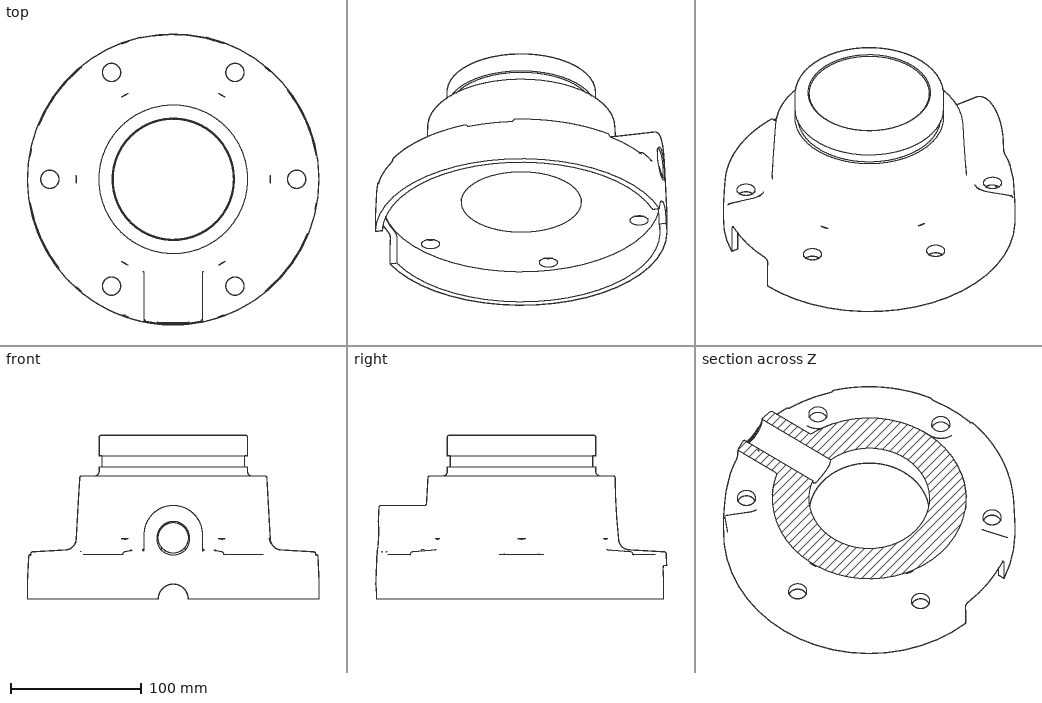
import cadquery as cq
import math

rim_radius = 111.7
rim_straight_height = 15.0
rim_draft_angle = 2.5
flange_edge_height = 36.2
outer_edge_fillet = 1.5
flange_crown_height = 37.8

hub_top_radius = 71.7
hub_foot_radius = 74.4
hub_top_height = 94.3
hub_edge_fillet = 1.3
hub_foot_height = 46.2
foot_blend_radius = 82.9

collar_radius = 57.0
collar_top_height = 125.5
collar_edge_fillet = 1.8
collar_foot_fillet = 3.4
groove_radius = 54.7
groove_bottom_height = 101.2
groove_top_height = 109.7

bore_radius = 46.0
bore_chamfer = 1.0
cavity_radius = 106.3
cavity_height = 26.5

bolt_count = 6
bolt_circle_radius = 94.5
bolt_hole_radius = 7.0
pad_radius = 13.5
pad_flare_angle = 15.0
pad_floor_height = 34.2
pad_wall_taper = 30.0
pad_floor_fillet = 1.1

boss_radius = 22.3
boss_center_height = 49.4
boss_root_fillet = 1.3
port_radius = 11.6
port_chamfer = 1.5
port_center_height = 47.0

drain_radius = 11.5
window_half_width = 25.2
window_height = 25.7
window_corner_radius = 3.4


def rim_radius_at(height):
    """Radius of the drafted rim surface at a height above its straight foot."""
    return rim_radius - (height - rim_straight_height) * math.tan(math.radians(rim_draft_angle))


def make_body():
    """Solid of revolution: rim, flange, hub and grooved collar."""
    blend_width = foot_blend_radius - hub_foot_radius
    blend_height = hub_foot_height - flange_crown_height
    on_diagonal = 1 - math.sqrt(0.5)
    blend_middle = (
        hub_foot_radius + blend_width * on_diagonal,
        flange_crown_height + blend_height * on_diagonal,
    )
    body = (
        cq.Workplane("XZ")
        .moveTo(0, 0)
        .lineTo(rim_radius, 0)
        .lineTo(rim_radius, rim_straight_height)
        .lineTo(rim_radius_at(flange_edge_height), flange_edge_height)
        .lineTo(foot_blend_radius, flange_crown_height)
        .threePointArc(blend_middle, (hub_foot_radius, hub_foot_height))
        .lineTo(hub_top_radius, hub_top_height)
        .lineTo(collar_radius, hub_top_height)
        .lineTo(collar_radius, groove_bottom_height)
        .lineTo(groove_radius, groove_bottom_height)
        .lineTo(groove_radius, groove_top_height)
        .lineTo(collar_radius, groove_top_height)
        .lineTo(collar_radius, collar_top_height)
        .lineTo(0, collar_top_height)
        .close()
        .revolve(360, (0, 0, 0), (0, 1, 0))
    )
    body = fillet_ring(body, collar_radius, collar_top_height, collar_edge_fillet)
    body = fillet_ring(body, collar_radius, hub_top_height, collar_foot_fillet)
    return fillet_ring(body, hub_top_radius, hub_top_height, hub_edge_fillet)


def fillet_ring(body, radius, height, fillet_radius):
    """Round the circular edge that has the given radius and height."""
    reach = 0.2
    outside = radius + reach
    inside = radius - reach
    ring = cq.selectors.BoxSelector(
        (-outside, -outside, height - reach), (outside, outside, height + reach), boundingbox=True
    )
    core = cq.selectors.BoxSelector(
        (-inside, -inside, height - reach), (inside, inside, height + reach), boundingbox=True
    )
    return body.edges(ring - core).fillet(fillet_radius)


def make_boss():
    """Arched boss whose front face carries on the drafted rim surface."""
    arch = (
        cq.Workplane("XZ")
        .moveTo(-boss_radius, rim_straight_height)
        .lineTo(boss_radius, rim_straight_height)
        .lineTo(boss_radius, boss_center_height)
        .threePointArc((0, boss_center_height + boss_radius), (-boss_radius, boss_center_height))
        .close()
        .extrude(rim_radius)
    )
    drafted_envelope = (
        cq.Workplane("XY")
        .workplane(offset=rim_straight_height)
        .circle(rim_radius)
        .extrude(hub_top_height - rim_straight_height, taper=rim_draft_angle)
    )
    return arch.intersect(drafted_envelope)


def pad_outline(radius, height):
    """Closed outline of a bolt pad: round at the hub, straight sides flaring outwards past the rim."""
    flare = math.radians(pad_flare_angle)
    mouth_x = rim_radius + 2 * pad_radius
    tangent_x = bolt_circle_radius - radius * math.sin(flare)
    tangent_y = radius * math.cos(flare)
    mouth_y = tangent_y + (mouth_x - tangent_x) * math.tan(flare)
    return (
        cq.Workplane("XY")
        .workplane(offset=height)
        .moveTo(mouth_x, -mouth_y)
        .lineTo(mouth_x, mouth_y)
        .lineTo(tangent_x, tangent_y)
        .threePointArc((bolt_circle_radius - radius, 0), (tangent_x, -tangent_y))
        .close()
        .wire()
        .val()
    )


def make_bolt_pad():
    """Cutter for the recess around the bolt hole on the +X axis, with leaning walls and a rounded floor."""
    top_radius = pad_radius + (hub_foot_height - pad_floor_height) * math.tan(math.radians(pad_wall_taper))
    floor_outline = pad_outline(pad_radius, pad_floor_height)
    top_outline = pad_outline(top_radius, hub_foot_height)
    pad = cq.Workplane(cq.Solid.makeLoft([floor_outline, top_outline], True))
    return pad.edges("<Z").edges("not >X").fillet(pad_floor_fillet)


def for_each_bolt(cutter, body):
    """Cut a tool made at the +X axis from the body at every bolt position."""
    for index in range(bolt_count):
        body = body.cut(cutter.rotate((0, 0, 0), (0, 0, 1), index * 360 / bolt_count))
    return body


def cut_bolt_pads(body):
    """Recess the flange around every bolt."""
    return for_each_bolt(make_bolt_pad(), body)


def cut_bolt_holes(body):
    """Drill the bolt holes through the flange."""
    hole = cq.Workplane("XY").center(bolt_circle_radius, 0).circle(bolt_hole_radius).extrude(hub_top_height)
    return for_each_bolt(hole, body)


def cut_inside(body):
    """Open the main bore and hollow the underside of the flange."""
    bore = cq.Workplane("XY").circle(bore_radius).extrude(collar_top_height)
    bore_mouth = (
        cq.Workplane("XY")
        .workplane(offset=collar_top_height)
        .circle(bore_radius + bore_chamfer)
        .extrude(-bore_chamfer, taper=45)
    )
    cavity = cq.Workplane("XY").circle(cavity_radius).extrude(cavity_height)
    return body.cut(bore).cut(bore_mouth).cut(cavity)


def cut_port(body):
    """Drill the side port into the main bore and countersink its mouth."""
    face_radius = rim_radius_at(port_center_height)
    hole = (
        cq.Workplane("XZ")
        .center(0, port_center_height)
        .circle(port_radius)
        .extrude(rim_radius)
    )
    countersink = (
        cq.Workplane("XZ", origin=(0, -face_radius, port_center_height))
        .circle(port_radius + port_chamfer)
        .extrude(-port_chamfer, taper=45)
    )
    return body.cut(hole).cut(countersink)


def cut_rim_openings(body):
    """Cut the round drain at -Y and the wide window at +Y through the rim wall."""
    drain = cq.Workplane("XZ").circle(drain_radius).extrude(rim_radius)
    window = (
        cq.Workplane("XZ")
        .rect(2 * window_half_width, 2 * window_height)
        .extrude(-rim_radius)
        .edges("|Y")
        .fillet(window_corner_radius)
    )
    return body.cut(drain).cut(window)


def is_boss_root(edge):
    """Tell whether an edge lies where the boss meets the hub, the blend or the flange."""
    box = edge.BoundingBox()
    center = edge.Center()
    beside_boss = abs(center.x) <= boss_radius + 0.2 and center.y < -hub_top_radius + 4.5
    behind_face = center.y > -cavity_radius and edge.geomType() != "LINE"
    return beside_boss and behind_face and box.zmin > flange_edge_height - 0.2


def is_on_rim(edge):
    """Tell whether an edge of the flange, a pad or the boss lies on the drafted rim surface."""
    points = [edge.positionAt(step / 4) for step in range(5)]
    offsets = [abs(math.hypot(p.x, p.y) - rim_radius_at(p.z)) for p in points]
    return max(offsets) < 0.002 and edge.BoundingBox().zmin > cavity_height


def is_pad_brim(edge):
    """Tell whether an edge runs along the top of a pad wall."""
    middle = edge.positionAt(0.5)
    pitch = 360 / bolt_count
    bearing = math.degrees(math.atan2(middle.y, middle.x))
    from_bolt = (bearing + pitch / 2) % pitch - pitch / 2
    on_flange = math.hypot(middle.x, middle.y) > bolt_circle_radius - 2 * pad_radius + 9
    on_crown_ring = edge.geomType() == "CIRCLE" and abs(middle.z - flange_crown_height) < 0.002
    above_floor = edge.BoundingBox().zmin > pad_floor_height + pad_floor_fillet
    return abs(from_bolt) < 14 and on_flange and above_floor and not on_crown_ring


def round_edges(body, is_wanted, radius):
    """Fillet all edges that pass the given test."""
    wanted = [edge for edge in body.edges().vals() if is_wanted(edge)]
    return body.newObject(wanted).fillet(radius)


result = make_body().union(make_boss())
result = round_edges(result, is_boss_root, boss_root_fillet)
result = cut_bolt_pads(result)
result = round_edges(result, lambda edge: is_on_rim(edge) or is_pad_brim(edge), outer_edge_fillet)
result = cut_bolt_holes(result)
result = cut_inside(result)
result = cut_port(result)
result = cut_rim_openings(result)